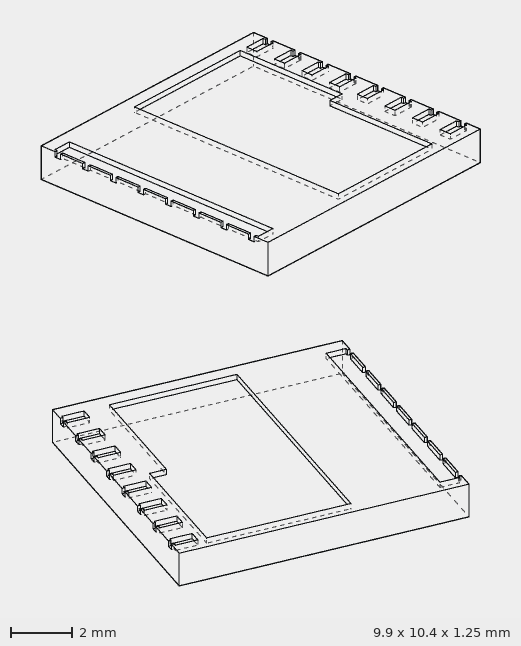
import cadquery as cq

length_x = 9.9
length_y = 10.38
thickness = 1.25

recess_depth = 0.2
edge_wall = 0.1

contact_count = 8
contact_pitch = 1.206
pad_width = 0.44
pad_length = 0.8
notch_width = 0.24

strip_length_x = (contact_count - 1) * contact_pitch + pad_width
strip_length_y = 0.71

window_side_margin = 0.5
window_front_margin = 4.0
window_back_margin = 1.21
window_step = 0.6

front_edge = -length_y / 2
back_edge = length_y / 2
recess_floor = thickness - recess_depth
contact_positions = [(i - (contact_count - 1) / 2) * contact_pitch for i in range(contact_count)]


def make_board():
    return cq.Workplane("XY").box(length_x, length_y, thickness, centered=(True, True, False))


def recess_box(center_x, front_y, size_x, size_y):
    """Rectangular cutter from the recess floor up to the top face."""
    return cq.Workplane("XY", origin=(center_x, front_y, recess_floor)).box(
        size_x, size_y, recess_depth, centered=(True, False, False)
    )


def notch_cutter(center_x, front_y):
    """Opening from a recess through the wall to the board edge."""
    return recess_box(center_x, front_y, notch_width, edge_wall)


def window_cutter():
    """Large recess whose back wall steps forward on the +X half."""
    half_width = length_x / 2 - window_side_margin
    front_y = front_edge + window_front_margin
    back_y = back_edge - window_back_margin
    step_y = back_y - window_step
    outline = [
        (-half_width, front_y),
        (half_width, front_y),
        (half_width, step_y),
        (0, step_y),
        (0, back_y),
        (-half_width, back_y),
    ]
    return cq.Workplane("XY", origin=(0, 0, recess_floor)).polyline(outline).close().extrude(recess_depth)


def strip_cutter():
    """Shared recess behind the front row of notches."""
    return recess_box(0, front_edge + edge_wall, strip_length_x, strip_length_y)


def pad_cutter(center_x):
    """Single contact recess behind one back notch."""
    return recess_box(center_x, back_edge - edge_wall - pad_length, pad_width, pad_length)


result = make_board().cut(window_cutter()).cut(strip_cutter())
for x in contact_positions:
    result = result.cut(pad_cutter(x))
    result = result.cut(notch_cutter(x, back_edge - edge_wall))
    result = result.cut(notch_cutter(x, front_edge))